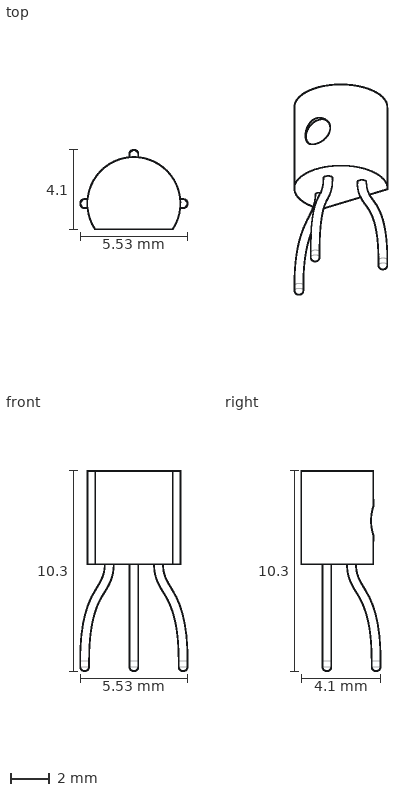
import cadquery as cq

housing_diameter = 4.8
housing_height = 4.8
housing_radius = housing_diameter / 2
flat_distance = 1.33

mark_diameter = 1.5
mark_depth = 0.21
mark_drop = 2.55

overall_height = 10.3
lead_diameter = 0.47
lead_radius = lead_diameter / 2
lead_length = overall_height - housing_height
root_offset = 1.27
tip_offset = 2.53
bend_offset = 1.87
bend_drop = 1.6
straight_tip_length = 0.29
bend_end_drop = lead_length - lead_radius - straight_tip_length
lead_angles = (0, 90, 180)


def make_housing():
    cylinder = cq.Workplane("XY").circle(housing_radius).extrude(housing_height)
    kept_block = (
        cq.Workplane("XY")
        .rect(housing_diameter, flat_distance + housing_radius)
        .extrude(housing_height)
        .translate((0, (housing_radius - flat_distance) / 2, 0))
    )
    mark = (
        cq.Workplane("XZ", origin=(0, housing_radius, housing_height - mark_drop))
        .circle(mark_diameter / 2)
        .extrude(mark_depth)
    )
    return cylinder.intersect(kept_block).cut(mark)


def make_lead(angle):
    """Wire that bends outward along +X, turned about the housing axis."""
    path = cq.Workplane("XZ").spline(
        [(root_offset, 0), (bend_offset, -bend_drop), (tip_offset, -bend_end_drop)],
        tangents=[(0, -1), (0, -1)],
    )
    bent_wire = cq.Workplane("XY", origin=(root_offset, 0, 0)).circle(lead_radius).sweep(path)
    straight_tip = (
        cq.Workplane("XY", origin=(tip_offset, 0, -bend_end_drop))
        .circle(lead_radius)
        .extrude(-straight_tip_length)
    )
    dome = (
        cq.Workplane("XZ", origin=(tip_offset, 0, lead_radius - lead_length))
        .lineTo(lead_radius, 0)
        .radiusArc((0, -lead_radius), lead_radius)
        .close()
        .revolve(360, (0, 0), (0, 1))
    )
    return bent_wire.union(straight_tip).union(dome).rotate((0, 0, 0), (0, 0, 1), angle)


housing = make_housing()
leads = [make_lead(angle) for angle in lead_angles]

result = cq.Compound.makeCompound([housing.val(), *[lead.val() for lead in leads]])